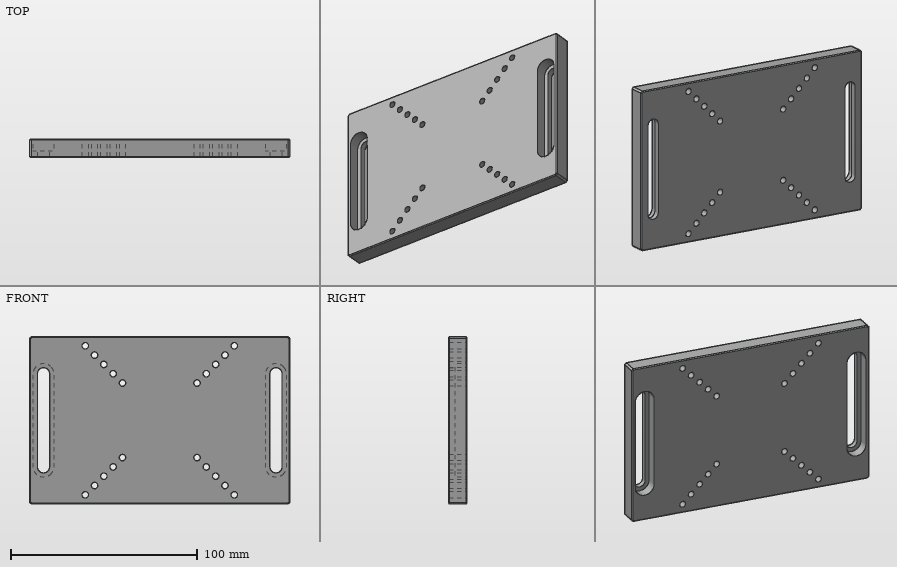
import cadquery as cq

plate_length = 140.0
plate_thickness = 10.0
plate_height = 90.0
corner_chamfer = 1.0
face_chamfer = 0.5

slot_centre_distance = 50.0
slot_width = 6.5
recess_width = 11.0
slot_lip_thickness = 3.5
slot_offset = 62.5

hole_diameter = 3.4
holes_per_row = 5
first_hole_offset = 20.0
last_hole_offset = 2 * first_hole_offset
hole_step = (last_hole_offset - first_hole_offset) / (holes_per_row - 1)


def make_plate():
    """Plate centred on the origin with chamfered corners and front and back rims."""
    plate = cq.Workplane("XY").box(plate_length, plate_thickness, plate_height)
    plate = plate.edges("|Y").chamfer(corner_chamfer)
    return plate.faces("<Y or >Y").edges().chamfer(face_chamfer)


def make_slots(width, front_y):
    """Cutters for both vertical slots, running from front_y out through the back."""
    return (
        cq.Workplane("XZ", origin=(0, front_y, 0))
        .pushPoints([(-slot_offset, 0), (slot_offset, 0)])
        .slot2D(slot_centre_distance + width, width, angle=90)
        .extrude(-plate_thickness)
    )


def make_holes():
    """Cutters for the through holes along both diagonals."""
    offsets = [first_hole_offset + i * hole_step for i in range(holes_per_row)]
    centres = [
        (x_sign * offset, z_sign * offset)
        for x_sign in (-1, 1)
        for z_sign in (-1, 1)
        for offset in offsets
    ]
    return (
        cq.Workplane("XZ")
        .pushPoints(centres)
        .circle(hole_diameter / 2)
        .extrude(plate_thickness, both=True)
    )


front_face_y = -plate_thickness / 2
through_slots = make_slots(slot_width, front_face_y)
back_recesses = make_slots(recess_width, front_face_y + slot_lip_thickness)

result = make_plate().cut(through_slots).cut(back_recesses).cut(make_holes())